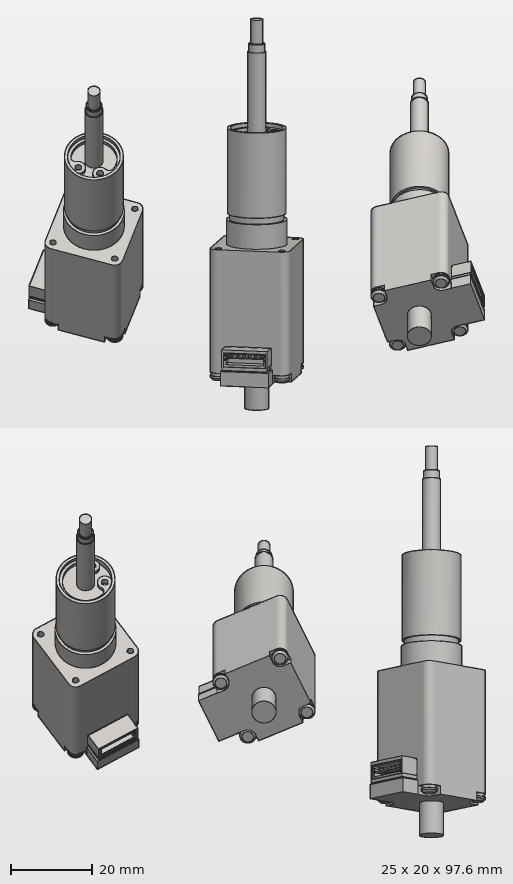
import cadquery as cq
import math


body_side = 20.0
body_bottom = 8.1
body_top = 41.3
hole_spacing = 16.0
corner_radius = (body_side - hole_spacing) / 2
hole_diameter = 1.6
hole_depth = 4.0

pocket_depth = 2.1
washer_diameter = 3.5
washer_height = 0.8
head_diameter = 4.0
head_height = 1.1
head_chamfer = 0.6

rear_shaft_diameter = 6.0
boss_diameter = 15.0
boss_top = 47.4
groove_diameter = 13.5
groove_top = 49.0
housing_diameter = 14.5
housing_top = 70.4
spindle_diameter = 4.5
spindle_top = 89.5
neck_diameter = 4.0
neck_top = 91.6
neck_chamfer = 0.2
tip_diameter = 3.0
total_height = 97.6

recess_radius = 13.0 / 2
recess_depth = 1.0
kidney_radius = 11.4 / 2
kidney_depth = 1.0
lobe_radius = 1.3
island_radius = 3.6 / 2
face_hole_diameter = 1.7
face_hole_depth = 2.0
face_hole_x = 2.8
face_hole_y = -3.8

connector_length = 5.0
base_width = 12.1
base_top = 11.7
gap_top = 12.0
gap_inset = 0.2
skirt_width = 11.3
skirt_top = 12.9
shell_width = 11.5
shell_top = 17.2
shell_notch = 0.2
mouth_width = 10.5
mouth_bottom = 12.9
mouth_top = 16.4
mouth_depth = 0.3
cavity_width = 10.15
slot_width = 9.5
cavity_bottom = 13.5
cavity_top = 16.1
cavity_depth = 4.0
ledge_top = 14.5
ledge_length = 1.0
key_width = 0.4
key_height = 0.6
pin_count = 6
pin_pitch = 1.5
pin_diameter = 0.5
pin_height = 15.2
pin_length = 3.0


def cylinder(diameter, bottom, top):
    return cq.Workplane("XY").workplane(offset=bottom).circle(diameter / 2).extrude(top - bottom)


def block(x_min, x_max, width, bottom, top):
    """Box centred on Y = 0."""
    size = (x_max - x_min, width, top - bottom)
    return cq.Workplane("XY").box(*size, centered=(False, True, False)).translate((x_min, 0, bottom))


def motor_block():
    height = body_top - body_bottom
    body = cq.Workplane("XY").workplane(offset=body_bottom).rect(body_side, body_side).extrude(height)
    body = body.edges("|Z").fillet(corner_radius)
    mounting_holes = (
        cq.Workplane("XY").workplane(offset=body_top - hole_depth)
        .rect(hole_spacing, hole_spacing, forConstruction=True).vertices()
        .circle(hole_diameter / 2).extrude(hole_depth)
    )
    return body.cut(mounting_holes)


def corner_pocket(x_sign, y_sign):
    """Notch under one bottom corner, rounded around the screw and open to both side faces."""
    size = 2 * (body_side - hole_spacing)
    notch = (
        cq.Workplane("XY").box(size, size, pocket_depth, centered=(True, True, False))
        .edges("|Z").fillet(head_diameter / 2)
    )
    offset = hole_spacing / 2 - head_diameter / 2 + size / 2
    return notch.translate((x_sign * offset, y_sign * offset, body_bottom))


def corner_screw(x_sign, y_sign):
    roof = body_bottom + pocket_depth
    washer_bottom = roof - washer_height
    washer = cylinder(washer_diameter, washer_bottom, roof)
    head = cylinder(head_diameter, washer_bottom - head_height, washer_bottom)
    head = head.faces("<Z").chamfer(head_chamfer)
    return washer.union(head).translate((x_sign * hole_spacing / 2, y_sign * hole_spacing / 2, 0))


def turned_parts():
    neck = cylinder(neck_diameter, spindle_top, neck_top).faces(">Z").chamfer(neck_chamfer)
    return (
        cylinder(rear_shaft_diameter, 0, body_bottom)
        .union(cylinder(boss_diameter, body_top, boss_top))
        .union(cylinder(groove_diameter, boss_top, groove_top))
        .union(housing())
        .union(cylinder(spindle_diameter, groove_top, spindle_top))
        .union(neck)
        .union(cylinder(tip_diameter, neck_top, total_height))
    )


def polar(center, radius, angle):
    return (center[0] + radius * math.cos(angle), center[1] + radius * math.sin(angle))


def mirrored(point):
    return (-point[0], point[1])


def triangle_angle(side_a, side_b, opposite):
    """Angle between side_a and side_b, facing the opposite side."""
    return math.acos((side_a**2 + side_b**2 - opposite**2) / (2 * side_a * side_b))


def kidney_pocket():
    """Round pocket that bends around an island at each face hole and runs out to the rim between them."""
    origin = (0, 0)
    island = (face_hole_x, face_hole_y)
    island_distance = math.hypot(*island)
    island_angle = math.atan2(face_hole_y, face_hole_x)

    lobe_distance = kidney_radius - lobe_radius
    lobe_angle = island_angle + triangle_angle(island_distance, lobe_distance, lobe_radius + island_radius)
    lobe = polar(origin, lobe_distance, lobe_angle)
    to_island = math.atan2(island[1] - lobe[1], island[0] - lobe[0])
    lobe_start = polar(origin, kidney_radius, lobe_angle)
    lobe_middle = polar(lobe, lobe_radius, (lobe_angle + to_island) / 2)
    lobe_end = polar(lobe, lobe_radius, to_island)

    rim_angle = island_angle - triangle_angle(island_distance, recess_radius, island_radius)
    rim_point = polar(origin, recess_radius, rim_angle)
    island_middle = polar(island, island_radius, math.pi)

    outline = (
        cq.Workplane("XY").moveTo(*mirrored(lobe_start))
        .threePointArc((0, kidney_radius), lobe_start)
        .threePointArc(lobe_middle, lobe_end)
        .threePointArc(island_middle, rim_point)
        .threePointArc((0, -recess_radius), mirrored(rim_point))
        .threePointArc(mirrored(island_middle), mirrored(lobe_end))
        .threePointArc(mirrored(lobe_middle), mirrored(lobe_start))
        .close()
    )
    return outline.extrude(kidney_depth)


def housing():
    recess_floor = housing_top - recess_depth
    face_holes = (
        cq.Workplane("XY").workplane(offset=recess_floor - face_hole_depth)
        .pushPoints([(-face_hole_x, face_hole_y), (face_hole_x, face_hole_y)])
        .circle(face_hole_diameter / 2).extrude(face_hole_depth)
    )
    return (
        cylinder(housing_diameter, groove_top, housing_top)
        .cut(cylinder(2 * recess_radius, recess_floor, housing_top))
        .cut(kidney_pocket().translate((0, 0, recess_floor - kidney_depth)))
        .cut(face_holes)
    )


def connector():
    back = -body_side / 2
    front = back - connector_length
    cavity_back = front + cavity_depth
    key_bottom = pin_height - key_height / 2
    key_top = pin_height + key_height / 2

    key_span = block(front + mouth_depth, cavity_back, cavity_width, key_bottom, key_top)
    keys = key_span.cut(block(front, cavity_back, cavity_width - 2 * key_width, key_bottom, key_top))
    cavity = block(front, cavity_back, cavity_width, ledge_top, cavity_top).cut(keys)

    shell = (
        block(front, back, base_width, body_bottom, base_top)
        .union(block(front + gap_inset, back, skirt_width - 2 * gap_inset, base_top, gap_top))
        .union(block(front, back, skirt_width, gap_top, skirt_top))
        .union(block(front, back, shell_width, skirt_top, shell_top))
        .cut(block(back - shell_notch, back, shell_width, shell_top - shell_notch, shell_top))
        .cut(block(front, front + mouth_depth, mouth_width, mouth_bottom, mouth_top))
        .cut(cavity)
        .cut(block(front, cavity_back - ledge_length, slot_width, cavity_bottom, ledge_top))
    )
    first_pin = -(pin_count - 1) * pin_pitch / 2
    pins = (
        cq.Workplane("YZ").workplane(offset=cavity_back - pin_length)
        .pushPoints([(first_pin + i * pin_pitch, pin_height) for i in range(pin_count)])
        .circle(pin_diameter / 2).extrude(pin_length)
    )
    return shell.union(pins)


result = motor_block()
for x_sign in (-1, 1):
    for y_sign in (-1, 1):
        result = result.cut(corner_pocket(x_sign, y_sign)).union(corner_screw(x_sign, y_sign))
result = result.union(turned_parts()).union(connector())